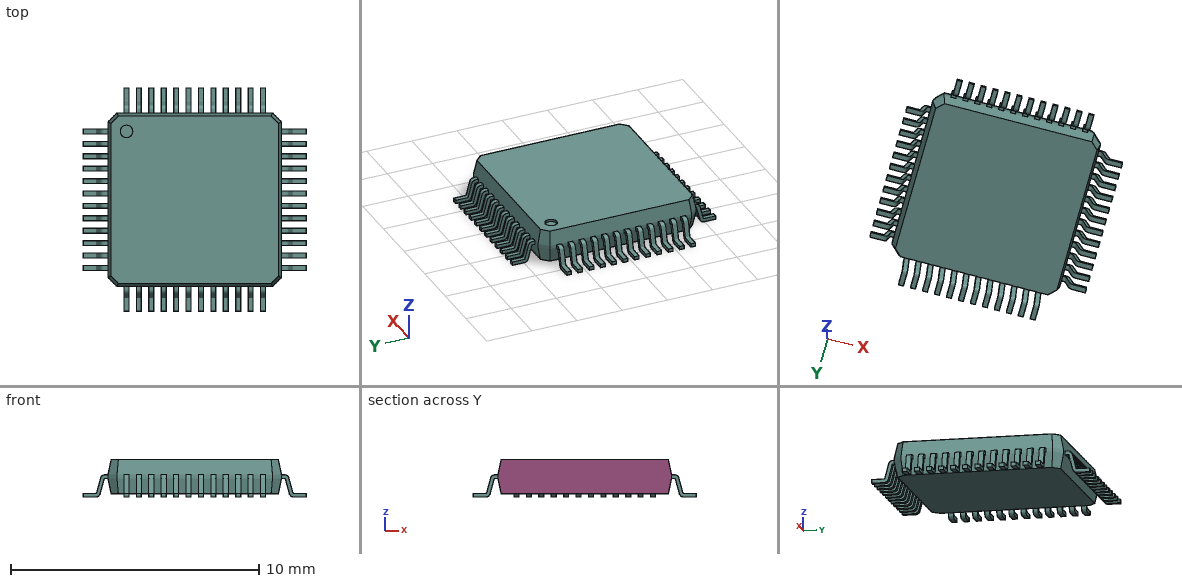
import cadquery as cq
import math

overall_width = 9.0
overall_height = 1.52

body_width = 7.0
body_clearance = 0.13
corner_chamfer = 0.37
draft_angle = 12.0

side_count = 4
leads_per_side = 12
lead_row_span = 5.5
lead_width = 0.21
lead_thickness = 0.15
lead_lean = 15.0
foot_length = 0.54
inner_bend_radius = 0.03
lead_embed = 0.18

mark_diameter = 0.5
mark_depth = 0.1

body_height = overall_height - body_clearance
body_mid = body_clearance + body_height / 2
band_bottom = body_mid - lead_thickness / 2
band_top = body_mid + lead_thickness / 2
draft_height = (body_height - lead_thickness) / 2
lead_pitch = lead_row_span / (leads_per_side - 1)
outer_bend_radius = inner_bend_radius + lead_thickness


def body_section(z):
    """Chamfered square outline of the body at its widest, on the plane at height z."""
    edge = body_width / 2
    corner = edge - corner_chamfer
    outline = [
        (edge, corner), (corner, edge), (-corner, edge), (-edge, corner),
        (-edge, -corner), (-corner, -edge), (corner, -edge), (edge, -corner),
    ]
    return cq.Workplane("XY").workplane(offset=z).polyline(outline).close()


def make_body():
    """Straight band at mid-height with drafted halves above and below."""
    band = body_section(band_bottom).extrude(lead_thickness)
    upper = body_section(band_top).extrude(draft_height, taper=draft_angle)
    lower = body_section(band_bottom).extrude(-draft_height, taper=draft_angle)
    return band.union(upper).union(lower)


def make_lead():
    """One lead on the +X side, centred on Y = 0, with rounded bends."""
    tip = overall_width / 2
    root = body_width / 2 - lead_embed
    miter = lead_thickness * math.tan(math.radians(90 - lead_lean) / 2)
    run = (band_top - lead_thickness) * math.tan(math.radians(lead_lean))
    lower_inner = tip - foot_length
    lower_outer = lower_inner - miter
    upper_outer = lower_inner - run
    upper_inner = lower_outer - run
    profile = [
        (tip, 0),
        (tip, lead_thickness),
        (lower_inner, lead_thickness),
        (upper_outer, band_top),
        (root, band_top),
        (root, band_bottom),
        (upper_inner, band_bottom),
        (lower_outer, 0),
    ]
    lead = cq.Workplane("XZ").polyline(profile).close().extrude(lead_width / 2, both=True)
    bends = [
        (lower_inner, lead_thickness, inner_bend_radius),
        (upper_inner, band_bottom, inner_bend_radius),
        (upper_outer, band_top, outer_bend_radius),
        (lower_outer, 0, outer_bend_radius),
    ]
    for x, z, radius in bends:
        bend_edge = cq.selectors.NearestToPointSelector((x, 0, z))
        lead = lead.edges("|Y").edges(bend_edge).fillet(radius)
    return lead


def make_pin_mark():
    """Shallow round dimple in the top face, in line with the end leads of two rows."""
    return (
        cq.Workplane("XY")
        .workplane(offset=overall_height - mark_depth)
        .center(-lead_row_span / 2, lead_row_span / 2)
        .circle(mark_diameter / 2)
        .extrude(mark_depth)
    )


result = make_body().cut(make_pin_mark())
single_lead = make_lead()
for side in range(side_count):
    for index in range(leads_per_side):
        offset = index * lead_pitch - lead_row_span / 2
        placed_lead = single_lead.translate((0, offset, 0))
        placed_lead = placed_lead.rotate((0, 0, 0), (0, 0, 1), side * 360 / side_count)
        result = result.union(placed_lead)